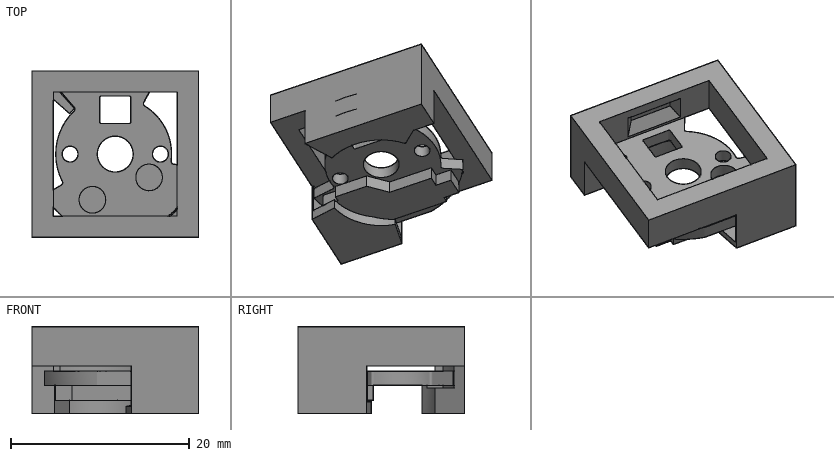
import cadquery as cq
import math

SIDE = 18.7
HEIGHT = 9.76
WINDOW = 13.91
CAVITY_RADIUS = 9.31
CAVITY_TOP = 5.33
FRONT_LIP_TOP = 1.35
BACK_LIP_TOP = 2.88
WINDOW_BOTTOM = 4.82
STOP_TOP = 4.71
FRONT_LIP_RADIUS = 6.43
BACK_LIP_RADIUS = 6.86

FRONT_LIP_START = 281.0
FRONT_LIP_END = 350.0
BACK_LIP_START = 61.4
STOP_START = 131.9
STOP_END = 138.5
BEHIND_STOP = 160.0
LEG_FACE_Y = 6.02

RAMP_LOW = 0.8
RAMP_LENGTH = 2.43

POCKET_WIDTH = 6.65
POCKET_BOTTOM = 5.65
POCKET_TOP = 8.6
POCKET_DEPTH = 0.86
POCKET_FLOOR_RISE = 1.42

PLATE_BOTTOM = 3.18
PLATE_THICKNESS = 1.59
LUG_RADIUS = 9.18
FRONT_FLAT_Y = -8.95
PLATE_LEFT_RADIUS = 6.7
PLATE_RIGHT_RADIUS = 6.34
FRONT_LUG_START = 209.8
FRONT_LUG_END = 350.4
BACK_LUG_START = 61.0
BACK_LUG_END = 131.1
LUG_ROOT_FILLET = 0.3
CENTER_HOLE = 4.0
SIDE_HOLE = 1.75
SIDE_HOLE_X = 5.07
PIN_HOLE = 3.0
LEFT_PIN = (-2.56, -5.12)
RIGHT_PIN = (3.8, -2.62)
LIGHT_WIDTH = 3.45
LIGHT_LENGTH = 3.07
LIGHT_CENTER_Y = 4.97
LIGHT_FILLET = 0.15

SOCKET_BOTTOM = 1.5
SOCKET_END_MARGIN = 2.32
SOCKET_SIDE_MARGIN = 1.72
SHOULDER_X = 0.28
SHOULDER_STEP = 1.95
TERMINAL_LENGTH = 1.85
TERMINAL_WIDTH = 2.13

FAR = SIDE


def polar(radius, degrees):
    angle = math.radians(degrees)
    return (radius * math.cos(angle), radius * math.sin(angle))


def disc(radius, bottom, top):
    return cq.Workplane("XY").workplane(offset=bottom).circle(radius).extrude(top - bottom)


def prism(points, bottom, top):
    return cq.Workplane("XY").workplane(offset=bottom).polyline(points).close().extrude(top - bottom)


def wedge(start, end, bottom, top):
    """Sector of up to 150 degrees that reaches past the outer walls."""
    middle = polar(2 * FAR, (start + end) / 2)
    return prism([(0, 0), polar(FAR, start), middle, polar(FAR, end)], bottom, top)


def lip_ramp():
    """Wedge that slopes the front lip down towards its starting edge."""
    profile = [(0, RAMP_LOW), (RAMP_LENGTH, FRONT_LIP_TOP), (0, FRONT_LIP_TOP)]
    cut = cq.Workplane("YZ").polyline(profile).close().extrude(FAR)
    cut = cut.rotate((0, 0, 0), (0, 0, 1), FRONT_LIP_START)
    return cut.intersect(disc(CAVITY_RADIUS, 0, FRONT_LIP_TOP))


def wall_pocket():
    """Recess in the +Y wall whose sides and floor slope inwards under a flat top."""
    back_width = POCKET_WIDTH - 2 * POCKET_DEPTH
    mouth = cq.Workplane("XZ", origin=(0, WINDOW / 2, (POCKET_BOTTOM + POCKET_TOP) / 2))
    mouth = mouth.rect(POCKET_WIDTH, POCKET_TOP - POCKET_BOTTOM)
    back = mouth.workplane(offset=-POCKET_DEPTH).center(0, POCKET_FLOOR_RISE / 2)
    return back.rect(back_width, POCKET_TOP - POCKET_BOTTOM - POCKET_FLOOR_RISE).loft(ruled=True)


def make_frame():
    frame = cq.Workplane("XY").box(SIDE, SIDE, HEIGHT, centered=(True, True, False))

    back_part = wedge(BACK_LIP_START, BEHIND_STOP, 0, BACK_LIP_TOP)
    back_part = back_part.union(wedge(STOP_START, BEHIND_STOP, 0, CAVITY_TOP))
    back_part = back_part.cut(disc(BACK_LIP_RADIUS, 0, CAVITY_TOP))
    cavity = disc(CAVITY_RADIUS, FRONT_LIP_TOP, CAVITY_TOP)
    cavity = cavity.union(disc(FRONT_LIP_RADIUS, 0, CAVITY_TOP))
    back_bore = wedge(BACK_LIP_START, BEHIND_STOP, 0, CAVITY_TOP)
    back_bore = back_bore.intersect(disc(BACK_LIP_RADIUS, 0, CAVITY_TOP))
    frame = frame.cut(cavity.cut(back_part)).cut(back_bore).cut(lip_ramp())

    leg_face_x = LEG_FACE_Y / math.tan(math.radians(STOP_END))
    left_opening = [
        (0, 0),
        (leg_face_x, LEG_FACE_Y),
        (-FAR, LEG_FACE_Y),
        (-FAR, -FAR),
        polar(FAR, FRONT_LIP_START),
    ]
    frame = frame.cut(prism(left_opening, 0, CAVITY_TOP))
    frame = frame.cut(wedge(FRONT_LIP_END - 360, BACK_LIP_START, 0, CAVITY_TOP))

    window = cq.Workplane("XY").workplane(offset=STOP_TOP).rect(WINDOW, WINDOW).extrude(HEIGHT - STOP_TOP)
    over_stop = window.intersect(wedge(BACK_LIP_START, BEHIND_STOP, STOP_TOP, WINDOW_BOTTOM))
    window = window.cut(disc(FAR, STOP_TOP, WINDOW_BOTTOM))
    return frame.cut(window).cut(over_stop).cut(wall_pocket())


def make_plate():
    top = PLATE_BOTTOM + PLATE_THICKNESS
    lug_disc = disc(LUG_RADIUS, PLATE_BOTTOM, top)
    left_relief = wedge(BACK_LUG_END, FRONT_LUG_START, PLATE_BOTTOM, top)
    left_relief = left_relief.cut(disc(PLATE_LEFT_RADIUS, PLATE_BOTTOM, top))
    right_relief = wedge(FRONT_LUG_END - 360, BACK_LUG_START, PLATE_BOTTOM, top)
    right_relief = right_relief.cut(disc(PLATE_RIGHT_RADIUS, PLATE_BOTTOM, top))
    plate = lug_disc.cut(left_relief).cut(right_relief)

    roots = [
        polar(PLATE_LEFT_RADIUS, BACK_LUG_END),
        polar(PLATE_LEFT_RADIUS, FRONT_LUG_START),
        polar(PLATE_RIGHT_RADIUS, FRONT_LUG_END),
        polar(PLATE_RIGHT_RADIUS, BACK_LUG_START),
    ]
    middle = PLATE_BOTTOM + PLATE_THICKNESS / 2
    for x, y in roots:
        root = cq.selectors.NearestToPointSelector((x, y, middle))
        plate = plate.edges("|Z").edges(root).fillet(LUG_ROOT_FILLET)

    front = [(-FAR, FRONT_FLAT_Y), (FAR, FRONT_FLAT_Y), (FAR, -FAR), (-FAR, -FAR)]
    plate = plate.cut(prism(front, PLATE_BOTTOM, top))

    holes = cq.Workplane("XY").workplane(offset=PLATE_BOTTOM)
    plate = plate.cut(holes.circle(CENTER_HOLE / 2).extrude(PLATE_THICKNESS))
    side_centers = [(-SIDE_HOLE_X, 0), (SIDE_HOLE_X, 0)]
    plate = plate.cut(holes.pushPoints(side_centers).circle(SIDE_HOLE / 2).extrude(PLATE_THICKNESS))
    plate = plate.cut(holes.pushPoints([LEFT_PIN, RIGHT_PIN]).circle(PIN_HOLE / 2).extrude(PLATE_THICKNESS))
    light = holes.center(0, LIGHT_CENTER_Y).rect(LIGHT_WIDTH, LIGHT_LENGTH).extrude(PLATE_THICKNESS)
    return plate.cut(light.edges("|Z").fillet(LIGHT_FILLET))


def make_socket():
    """Stepped block under the two pin holes, with a flat terminal beside each of them."""
    left = LEFT_PIN[0] - SOCKET_END_MARGIN
    right = RIGHT_PIN[0] + SOCKET_END_MARGIN
    front = LEFT_PIN[1] - SOCKET_SIDE_MARGIN
    back = RIGHT_PIN[1] + SOCKET_SIDE_MARGIN
    outline = [
        (left, front),
        (right, front),
        (right, back),
        (SHOULDER_X + SHOULDER_STEP, back),
        (SHOULDER_X, back - SHOULDER_STEP),
        (left, back - SHOULDER_STEP),
    ]
    socket = prism(outline, SOCKET_BOTTOM, PLATE_BOTTOM)
    for end, (_, pin_y) in ((left, LEFT_PIN), (right, RIGHT_PIN)):
        terminal = cq.Workplane("XY").workplane(offset=SOCKET_BOTTOM).center(end, pin_y)
        terminal = terminal.rect(2 * TERMINAL_LENGTH, TERMINAL_WIDTH).extrude(PLATE_BOTTOM - SOCKET_BOTTOM)
        socket = socket.union(terminal)
    return socket


frame = make_frame()
plate = make_plate()
socket = make_socket()

result = cq.Compound.makeCompound([frame.val(), plate.val(), socket.val()])